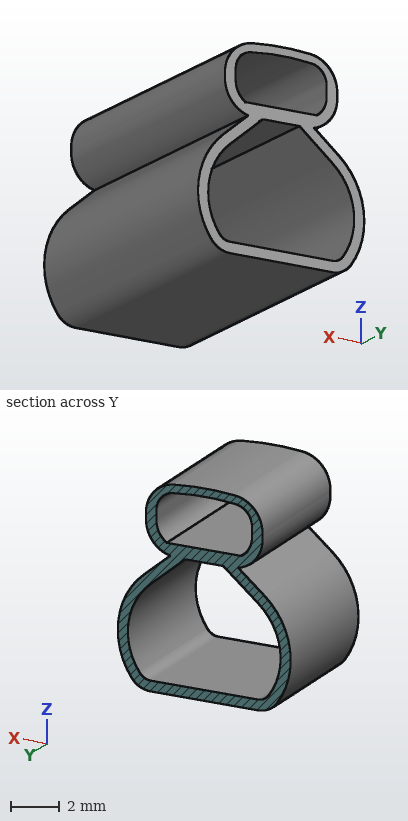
import cadquery as cq
import math

length = 12.0
height = 9.29
wall = 0.49
partition_bottom = 6.02
partition_top = 6.62

width = 8.03
bulge_half_width = width / 2
bulge_height = 2.45
bulge_radius = 3.41
shoulder_angle = math.radians(40.0)
foot_radius = 1.1

head_half_width = 2.71
head_lower_center_z = 7.49
head_upper_center_z = 7.76
head_crown_radius = 13.8
head_lower_radius = head_lower_center_z - partition_bottom

cavity_half_width = 2.2
cavity_top = 8.9
cavity_crown_radius = 12.0
cavity_corner_radius = 0.84
cavity_lower_radius = 1.02


def polar(center, radius, angle):
    """Point on a circle in the XZ plane."""
    return (center[0] + radius * math.cos(angle), center[1] + radius * math.sin(angle))


def arc(path, center, radius, start, end):
    """Continue a path with an arc about center, from angle start to angle end."""
    middle = polar(center, radius, (start + end) / 2)
    return path.threePointArc(middle, polar(center, radius, end))


def symmetric_prism(half_path):
    """Extrude the half outline on the +X side and mirror it about X = 0."""
    half = half_path.close().extrude(length / 2, both=True)
    return half.union(half.mirror("YZ")).clean()


def lower_prism(inset, roof_z):
    """Lower tube outline moved inward by inset and closed by a flat roof."""
    bulge_center = (bulge_half_width - bulge_radius, bulge_height)
    side_radius = bulge_radius - inset
    corner_radius = foot_radius - inset
    drop = bulge_height - foot_radius
    reach = math.sqrt((bulge_radius - foot_radius) ** 2 - drop**2)
    foot_center = (bulge_center[0] + reach, foot_radius)
    foot_angle = -math.atan2(drop, reach)
    side_angle = math.pi / 2 - shoulder_angle
    shoulder = polar(bulge_center, side_radius, side_angle)
    roof_x = shoulder[0] - (roof_z - shoulder[1]) / math.tan(shoulder_angle)

    path = cq.Workplane("XZ").moveTo(0, inset).lineTo(foot_center[0], inset)
    path = arc(path, foot_center, corner_radius, -math.pi / 2, foot_angle)
    path = arc(path, bulge_center, side_radius, foot_angle, side_angle)
    path = path.lineTo(roof_x, roof_z).lineTo(0, roof_z)
    return symmetric_prism(path)


def crowned_prism(half_width, floor_z, top_z, crown_radius, lower_center_z, lower_radius,
                  upper_center_z, upper_radius):
    """Flat floor, rounded corners, upright sides and a crown tangent to the upper corners."""
    lower_center = (half_width - lower_radius, lower_center_z)
    upper_center = (half_width - upper_radius, upper_center_z)
    crown_center = (0, top_z - crown_radius)
    floor_angle = -math.asin((lower_center_z - floor_z) / lower_radius)
    crown_angle = math.atan2(upper_center_z - crown_center[1], upper_center[0])

    path = cq.Workplane("XZ").moveTo(0, floor_z).lineTo(*polar(lower_center, lower_radius, floor_angle))
    path = arc(path, lower_center, lower_radius, floor_angle, 0)
    path = path.lineTo(half_width, upper_center_z)
    path = arc(path, upper_center, upper_radius, 0, crown_angle)
    path = arc(path, crown_center, crown_radius, crown_angle, math.pi / 2)
    return symmetric_prism(path)


crown_offset = head_upper_center_z - (height - head_crown_radius)
head_upper_radius = (head_crown_radius**2 - head_half_width**2 - crown_offset**2) / (
    2 * (head_crown_radius - head_half_width)
)

cavity_upper_center_z = cavity_top - cavity_crown_radius + math.sqrt(
    (cavity_crown_radius - cavity_corner_radius) ** 2
    - (cavity_half_width - cavity_corner_radius) ** 2
)

lower_body = lower_prism(0, partition_top)
head = crowned_prism(head_half_width, partition_bottom, height, head_crown_radius,
                     head_lower_center_z, head_lower_radius,
                     head_upper_center_z, head_upper_radius)

lower_cavity = lower_prism(wall, partition_bottom)
upper_cavity = crowned_prism(cavity_half_width, partition_top, cavity_top, cavity_crown_radius,
                             head_lower_center_z, cavity_lower_radius,
                             cavity_upper_center_z, cavity_corner_radius)

result = lower_body.union(head).cut(lower_cavity).cut(upper_cavity).clean()